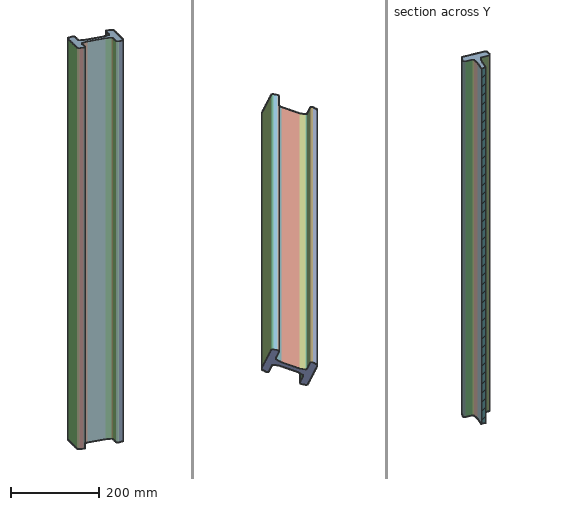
import cadquery as cq
import math

LENGTH = 1000.0
DEPTH = 113.9
FLANGE_WIDTH = 66.0
UNDERSIDE_Y = 38.2
SIDE_DRAFT = 10.0
OUTER_RADIUS = 5.0
TIP_RADIUS = 4.5
WEB_THICKNESS = 11.0
WEB_FLAT_HALF = 22.6
WEB_TAPER = 11.7
ROOT_RADIUS = 3.0

half_depth = DEPTH / 2
half_web = WEB_THICKNESS / 2
draft = math.radians(SIDE_DRAFT)
root_x = half_web + (UNDERSIDE_Y - WEB_FLAT_HALF) * math.tan(math.radians(WEB_TAPER))

tip_x = FLANGE_WIDTH / 2 - TIP_RADIUS + TIP_RADIUS * math.tan(math.pi / 4 + draft / 2)
outer_x = tip_x - (half_depth - UNDERSIDE_Y) * math.tan(draft)

OUTER_CORNER = (outer_x, half_depth)
TIP_CORNER = (tip_x, UNDERSIDE_Y)
ROOT_CORNER = (root_x, UNDERSIDE_Y)
WEB_CORNER = (half_web, WEB_FLAT_HALF)


def sharp_section():
    """Closed I outline with sharp corners."""
    quarter = [OUTER_CORNER, TIP_CORNER, ROOT_CORNER, WEB_CORNER]
    right = quarter + [(x, -y) for x, y in reversed(quarter)]
    left = [(-x, y) for x, y in reversed(right)]
    return cq.Workplane("XY").polyline(right + left).close()


def round_corner(body, corner, radius):
    """Fillet the four lengthwise edges that mirror one section corner."""
    x, y = corner
    tolerance = 0.01
    mid_z = LENGTH / 2
    for edge_x in (-x, x):
        for edge_y in (-y, y):
            low = (edge_x - tolerance, edge_y - tolerance, mid_z - tolerance)
            high = (edge_x + tolerance, edge_y + tolerance, mid_z + tolerance)
            body = body.edges(cq.selectors.BoxSelector(low, high)).fillet(radius)
    return body


beam = sharp_section().extrude(LENGTH)
beam = round_corner(beam, OUTER_CORNER, OUTER_RADIUS)
beam = round_corner(beam, TIP_CORNER, TIP_RADIUS)
result = round_corner(beam, ROOT_CORNER, ROOT_RADIUS)